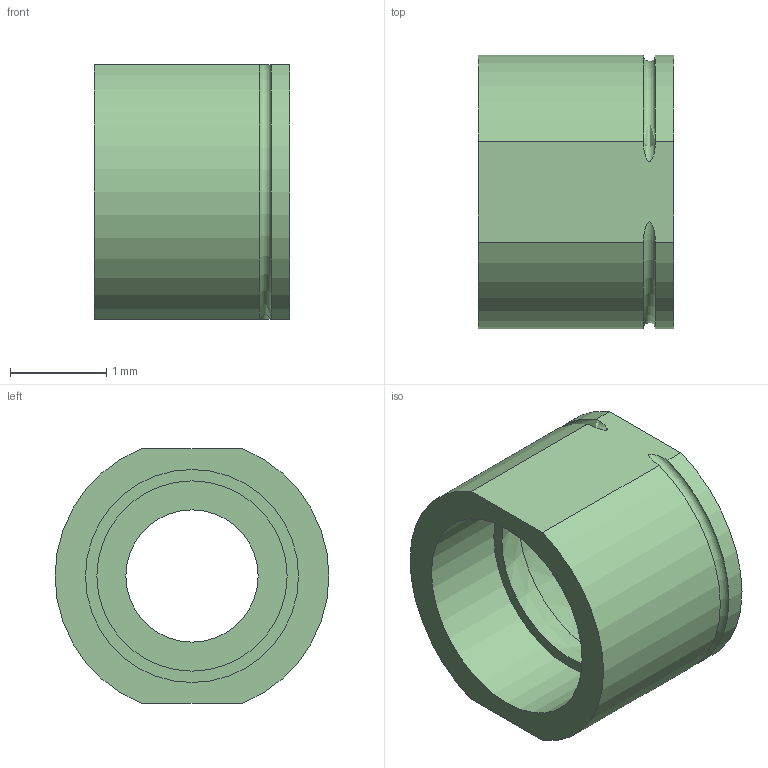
import cadquery as cq

length = 2.03
outer_diameter = 2.84
height_over_flats = 2.64

bore_diameter = 2.21
bore_depth = 0.914
exit_hole_diameter = 1.372

chamber_mouth_diameter = 1.973
chamber_widest_diameter = 2.3
chamber_length = 0.812

groove_width = 0.127
groove_from_rear = 0.254


def make_body():
    """Cylinder along X, trimmed by flats at top and bottom."""
    cylinder = cq.Workplane("YZ").circle(outer_diameter / 2).extrude(length)
    between_flats = cq.Workplane("YZ").rect(outer_diameter, height_over_flats).extrude(length)
    return cylinder.intersect(between_flats)


def make_bore():
    """Revolved inside: bore, step, double-cone chamber, flat floor and exit hole."""
    chamber_middle = bore_depth + chamber_length / 2
    chamber_end = bore_depth + chamber_length
    return (
        cq.Workplane("XY")
        .moveTo(0, 0)
        .lineTo(0, bore_diameter / 2)
        .lineTo(bore_depth, bore_diameter / 2)
        .lineTo(bore_depth, chamber_mouth_diameter / 2)
        .lineTo(chamber_middle, chamber_widest_diameter / 2)
        .lineTo(chamber_end, chamber_mouth_diameter / 2)
        .lineTo(chamber_end, exit_hole_diameter / 2)
        .lineTo(length, exit_hole_diameter / 2)
        .lineTo(length, 0)
        .close()
        .revolve(360, (0, 0), (1, 0))
    )


def make_groove():
    """Ring of round section centred on the outer cylinder surface."""
    outer_radius = outer_diameter / 2
    return (
        cq.Workplane("XY")
        .center(length - groove_from_rear, outer_radius)
        .circle(groove_width / 2)
        .revolve(360, (0, -outer_radius), (1, -outer_radius))
    )


result = make_body().cut(make_bore()).cut(make_groove())